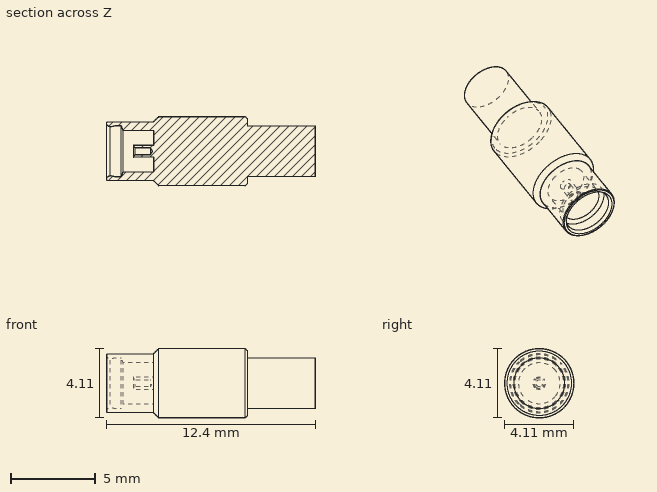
import cadquery as cq
import math

total_length = 12.36
sleeve_length = 2.80
tail_length = 4.00
barrel_end = total_length - tail_length

sleeve_radius = 1.74
barrel_radius = 2.055
tail_radius = 1.50
mouth_chamfer = 0.05
barrel_front_chamfer = 0.30
barrel_rear_chamfer = 0.15

mouth_radius = 1.55
lip_radius = 1.44
groove_radius = 1.50
bore_radius = 1.22
lip_start = 0.21
lip_end = 0.27
groove_start = 0.52
shoulder_start = 0.88
shoulder_angle = 20.0
shoulder_end = shoulder_start + (groove_radius - bore_radius) * math.tan(math.radians(shoulder_angle))
bore_depth = sleeve_length

contact_radius = 0.365
contact_start = 1.60
pin_hole_radius = 0.20
pin_hole_mouth_radius = 0.30
pin_hole_depth = 1.00
pin_hole_flare = pin_hole_mouth_radius - pin_hole_radius
drill_point_angle = 118.0
drill_point_length = pin_hole_radius / math.tan(math.radians(drill_point_angle / 2))


def turned(profile):
    """Revolve a closed (x, radius) profile about the X axis."""
    return cq.Workplane("XY").polyline(profile).close().revolve(360, (0, 0, 0), (1, 0, 0))


def make_body():
    return turned([
        (0, 0),
        (0, sleeve_radius - mouth_chamfer),
        (mouth_chamfer, sleeve_radius),
        (sleeve_length, sleeve_radius),
        (sleeve_length, barrel_radius - barrel_front_chamfer),
        (sleeve_length + barrel_front_chamfer, barrel_radius),
        (barrel_end - barrel_rear_chamfer, barrel_radius),
        (barrel_end, barrel_radius - barrel_rear_chamfer),
        (barrel_end, tail_radius),
        (total_length, tail_radius),
        (total_length, 0),
    ])


def make_socket():
    return turned([
        (0, 0),
        (0, mouth_radius),
        (lip_start, lip_radius),
        (lip_end, lip_radius),
        (groove_start, groove_radius),
        (shoulder_start, groove_radius),
        (shoulder_end, bore_radius),
        (bore_depth, bore_radius),
        (bore_depth, 0),
    ])


def make_contact():
    return turned([
        (contact_start, 0),
        (contact_start, contact_radius),
        (barrel_end, contact_radius),
        (barrel_end, 0),
    ])


def make_pin_hole():
    hole_end = contact_start + pin_hole_depth
    return turned([
        (contact_start, 0),
        (contact_start, pin_hole_mouth_radius),
        (contact_start + pin_hole_flare, pin_hole_radius),
        (hole_end, pin_hole_radius),
        (hole_end + drill_point_length, 0),
    ])


shell = make_body().cut(make_socket())
connector = shell.union(make_contact()).cut(make_pin_hole())
result = connector.translate((-total_length / 2, 0, 0))